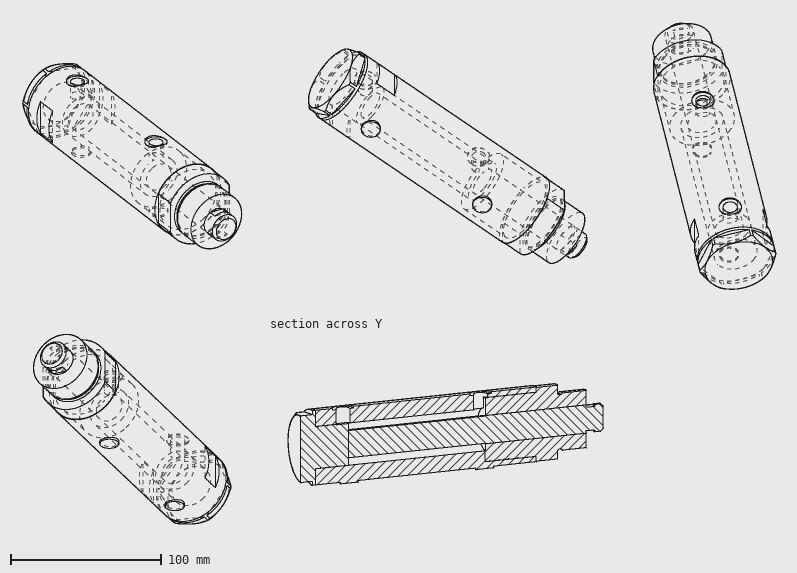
import cadquery as cq
import math

OVERALL_LENGTH = 216.0

TUBE_DIAMETER = 52.0
TUBE_START = 10.5
TUBE_END = 168.3
TUBE_BORE_DIAMETER = 29.0
SOCKET_DIAMETER = 44.0
SOCKET_START = 131.8

FLATS_WIDTH = 46.2
FLATS_LENGTH = 15.1
TUBE_FLATS_START = 21.0

PORT_POSITIONS = (30.5, 128.5)
PORT_DIAMETER = 9.5
SPOT_FACE_DIAMETER = 15.0
SPOT_FACE_HEIGHT = 24.8

BOSS_POSITIONS = (35.0, 131.5)
BOSS_DIAMETER = 12.7
BOSS_PROJECTION = 1.0

HEX_ACROSS_FLATS = 46.0
CAP_TURN_DEGREES = 111.5
HEX_END = 8.5
HEX_FACE_DIAMETER = 45.8
CAP_STEM_END = 34.5

NOSE_DIAMETER = 51.5
NOSE_FLANGE_END = TUBE_END + FLATS_LENGTH
NOSE_END = 204.0
SPIGOT_DIAMETER = 40.0
GROOVE_DEPTH = 1.0
GROOVE_FLOOR_LENGTH = 1.3

SHAFT_DIAMETER = 19.2
SHAFT_CHAMFER = 2.0
SHAFT_FLATS_WIDTH = 16.6
SHAFT_FLATS_LENGTH = 5.8


def cross_section(x):
    """Workplane across the X axis, turned so that a circle starts at the top."""
    return cq.Workplane(cq.Plane(origin=(x, 0, 0), xDir=(0, 0, 1), normal=(1, 0, 0)))


def rod(diameter, start, end):
    """Solid cylinder on the X axis between two X positions."""
    return cross_section(start).circle(diameter / 2).extrude(end - start)


def post(diameter, x, bottom, top):
    """Solid vertical cylinder at X between two heights."""
    return cq.Workplane("XY", origin=(x, 0, bottom)).circle(diameter / 2).extrude(top - bottom)


def block_pair(start, length, gap, axis):
    """Two blocks that leave a gap between them along Y or Z, for cutting opposite flats."""
    depth = TUBE_DIAMETER
    blocks = cq.Workplane()
    for side in (-1, 1):
        offset = side * (gap + depth) / 2
        centre = (start + length / 2, offset, 0) if axis == "Y" else (start + length / 2, 0, offset)
        blocks = blocks.add(cq.Workplane().box(length, depth, depth).translate(centre))
    return blocks.combine()


def make_tube():
    tube = rod(TUBE_DIAMETER, TUBE_START, TUBE_END)
    for x in BOSS_POSITIONS:
        tube = tube.union(post(BOSS_DIAMETER, x, -TUBE_DIAMETER / 2 - BOSS_PROJECTION, 0))
    tube = tube.cut(rod(TUBE_BORE_DIAMETER, TUBE_START, TUBE_END))
    tube = tube.cut(rod(SOCKET_DIAMETER, SOCKET_START, TUBE_END))
    tube = tube.cut(block_pair(TUBE_FLATS_START, FLATS_LENGTH, FLATS_WIDTH, "Y"))
    for x in PORT_POSITIONS:
        tube = tube.cut(post(PORT_DIAMETER, x, 0, TUBE_DIAMETER))
        tube = tube.cut(post(SPOT_FACE_DIAMETER, x, SPOT_FACE_HEIGHT, TUBE_DIAMETER))
    return tube


def make_cap():
    """Hexagon head with trimmed corners and a 45 degree end chamfer, a round collar and a stem."""
    half_corner_angle = 30
    corner_distance = HEX_ACROSS_FLATS / math.cos(math.radians(half_corner_angle))
    hexagon = (
        cross_section(0)
        .transformed(rotate=(0, 0, half_corner_angle))
        .polygon(6, corner_distance)
        .extrude(HEX_END)
    )
    chamfer = (TUBE_DIAMETER - HEX_FACE_DIAMETER) / 2
    envelope = rod(TUBE_DIAMETER, 0, HEX_END).faces("<X").chamfer(chamfer)
    head = hexagon.intersect(envelope)
    collar = rod(TUBE_DIAMETER, HEX_END, TUBE_START)
    stem = rod(TUBE_BORE_DIAMETER, HEX_END, CAP_STEM_END)
    return head.union(collar).union(stem).rotate((0, 0, 0), (1, 0, 0), CAP_TURN_DEGREES)


def make_nose():
    flange = rod(NOSE_DIAMETER, TUBE_END, NOSE_FLANGE_END)
    flange = flange.cut(block_pair(TUBE_END, FLATS_LENGTH, FLATS_WIDTH, "Y"))
    stem = rod(SOCKET_DIAMETER, SOCKET_START, TUBE_END)
    spigot = rod(SPIGOT_DIAMETER, NOSE_FLANGE_END, NOSE_END)
    nose = flange.union(stem).union(spigot).cut(groove())
    return nose.cut(rod(SHAFT_DIAMETER, SOCKET_START, NOSE_END))


def groove():
    """Ring with 45 degree sides, next to the nose flange."""
    outer = SPIGOT_DIAMETER / 2
    inner = outer - GROOVE_DEPTH
    floor_start = NOSE_FLANGE_END + GROOVE_DEPTH
    floor_end = floor_start + GROOVE_FLOOR_LENGTH
    outline = [
        (NOSE_FLANGE_END, outer),
        (floor_start, inner),
        (floor_end, inner),
        (floor_end + GROOVE_DEPTH, outer),
    ]
    return cq.Workplane("XZ").polyline(outline).close().revolve(360, (0, 0, 0), (1, 0, 0))


def make_shaft():
    shaft = rod(SHAFT_DIAMETER, CAP_STEM_END, OVERALL_LENGTH).faces(">X").chamfer(SHAFT_CHAMFER)
    return shaft.cut(block_pair(NOSE_END, SHAFT_FLATS_LENGTH, SHAFT_FLATS_WIDTH, "Z"))


tube = make_tube()
cap = make_cap()
nose = make_nose()
shaft = make_shaft()

result = cq.Compound.makeCompound([tube.val(), cap.val(), nose.val(), shaft.val()])